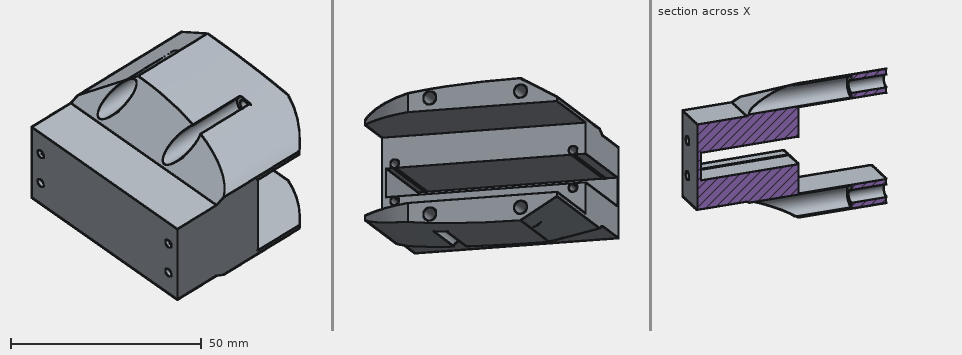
import cadquery as cq
import math

length = 56.0
depth = 53.9
height = 38.4

block_height = 24.5
arm_length = 25.0
block_depth = depth - arm_length

edge_height = 26.9
crest_x = 10.0
crown_half_length = 47.05
crown_end_angle = math.asin((length - crest_x) / crown_half_length)
crown_samples = 16

slope_start_y = 14.05

corner_start_x = 41.0
corner_mid = (49.85, 49.3)
corner_end_y = 43.85

arm_hole_x = (crest_x, crest_x + arm_length)
arm_hole_z = 15.7
arm_hole_diameter = 3.5
counterbore_diameter = 6.0
counterbore_end_y = corner_end_y

screw_inset_x = 3.5
screw_spacing_z = 10.0
screw_diameter = 2.35

pocket_height = 7.7
pocket_wall = 1.2


def crown_point(angle):
    """Point on the elliptical crown, angle measured from the crest."""
    crest_z = height / 2
    drop = crest_z - edge_height / 2
    half_height = drop / (1 - math.cos(crown_end_angle))
    return (
        crest_x + crown_half_length * math.sin(angle),
        crest_z - half_height * (1 - math.cos(angle)),
    )


def make_profile():
    """Shell outline with a bevel and a curved crown, mirrored about Z = 0, run along Y."""
    upper_half = (
        cq.Workplane("XZ")
        .lineTo(0, edge_height / 2)
        .lineTo(crest_x, height / 2)
        .parametricCurve(crown_point, N=crown_samples, start=0, stop=crown_end_angle, makeWire=False)
        .lineTo(length, 0)
        .close()
        .extrude(-depth)
    )
    return upper_half.union(upper_half.mirror("XY"))


def make_side_shape():
    """Block with sloped shoulders leading to two arms, run along X."""
    block_z = block_height / 2
    crest_z = height / 2
    upper = [
        (0, block_z),
        (slope_start_y, block_z),
        (block_depth, crest_z),
        (depth, crest_z),
        (depth, block_z),
        (block_depth, block_z),
    ]
    lower = [(y, -z) for y, z in reversed(upper)]
    return cq.Workplane("YZ").polyline(upper + lower).close().extrude(length)


def make_plan_shape():
    """Rectangle with one rounded rear corner, run along Z."""
    return (
        cq.Workplane("XY")
        .lineTo(length, 0)
        .lineTo(length, corner_end_y)
        .threePointArc(corner_mid, (corner_start_x, depth))
        .lineTo(0, depth)
        .close()
        .extrude(height / 2, both=True)
    )


def make_bores(centres, diameter, end_y):
    """Round bores from the front face to end_y."""
    return cq.Workplane("XZ").pushPoints(centres).circle(diameter / 2).extrude(-end_y)


def make_pocket():
    """Pocket that leaves a wall at the front and at the +X end."""
    return cq.Workplane("XY").box(
        length - pocket_wall,
        block_depth - pocket_wall,
        pocket_height,
        centered=(False, False, True),
    ).translate((0, pocket_wall, 0))


arm_holes = [(x, z) for x in arm_hole_x for z in (-arm_hole_z, arm_hole_z)]
screws = [
    (x, z)
    for x in (screw_inset_x, length - screw_inset_x)
    for z in (-screw_spacing_z / 2, screw_spacing_z / 2)
]

result = (
    make_profile()
    .intersect(make_side_shape())
    .intersect(make_plan_shape())
    .cut(make_bores(arm_holes, arm_hole_diameter, depth))
    .cut(make_bores(arm_holes, counterbore_diameter, counterbore_end_y))
    .cut(make_bores(screws, screw_diameter, block_depth))
    .cut(make_pocket())
)